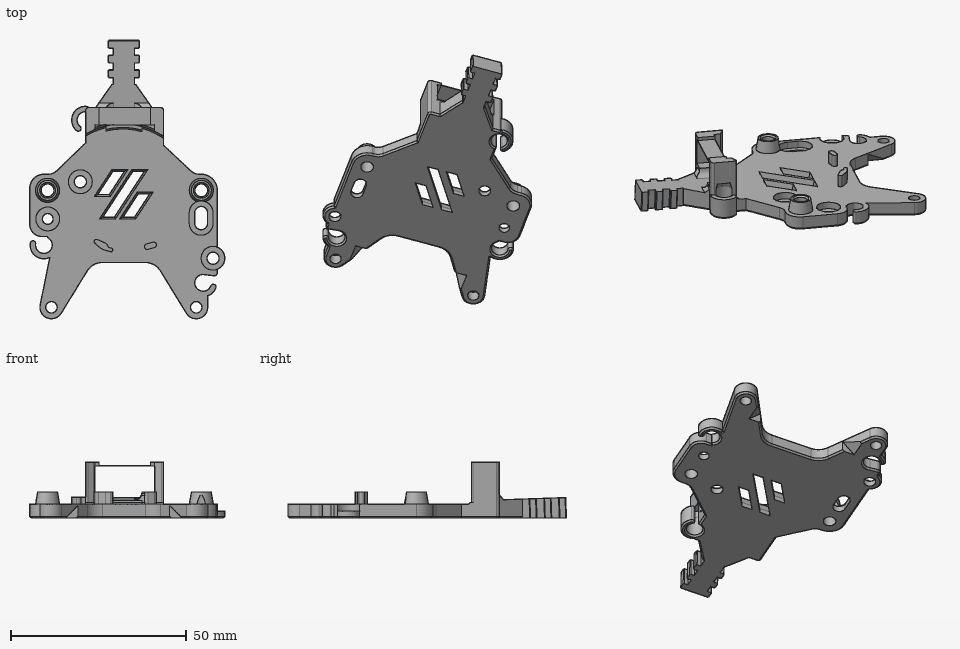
import cadquery as cq
import math

PLATE_T = 4.0
BOTTOM_CHAMFER = 0.5
BEVEL_ANGLE = 45
PLATE_SPAN = 100
PLATE_LEFT, PLATE_RIGHT = -26.89, 26.7
SHOULDER_Y = 38.0
LEFT_CORNER_Y = 20.15
CROTCH_Y = 12.75
CROTCH_HALF = 8.95
CROTCH_RADIUS = 5.0
CORNER_RADIUS = 4.7
LEFT_UPPER_RADIUS = 4.2
LEFT_LOWER_RADIUS = 3.6
SHOULDER_RADIUS = 3.5
SLOPE_END_LEFT, SLOPE_END_RIGHT = 46.95, 46.2
SHOULDER_X_LEFT, SHOULDER_X_RIGHT = -20.1, 20.1

LEG_X = 20.65
LEG_RADIUS = 3.3
LEG_HOLE_D = 3.2
LEG_RELIEF_HALF = 13.15
LEG_RELIEF_Z = 3.5
LEG_RELIEF_Y = 6.1

HOOK_BORE_D = 4.7
HOOK_WALL = 1.6
HOOK_BORE_R = HOOK_BORE_D / 2
HOOK_MID_R = HOOK_BORE_R + HOOK_WALL / 2
HOOK_OUTER_R = HOOK_BORE_R + HOOK_WALL
LEFT_HOOK = (-22.8, 17.75)
RIGHT_HOOK = (22.6, 6.98)
TOWER_HOOK = (-10.95, 53.4)
TOWER_HOOK_TOP = 6.0
TOWER_HOOK_SWEEP = (230, 80)
LEFT_HOOK_SWEEP = (172, 310)
RIGHT_HOOK_SWEEP = (-22, -110)
LEFT_HIP = (LEFT_HOOK[0] + 1.65, LEFT_HOOK[1] - 3.5)
LEFT_BORE_STEP = 0.65
TOWER_BORE_TOP = 7.5
TOWER_BORE_END_Z = 9.3
TOWER_BORE_END_R = 1.8
LIP_END = (25.8, 9.8)
LIP_RADIUS = 0.85

COUNTERBORE_D = 6.8
COUNTERBORE_Z = 2.0
CLEARANCE_HOLE_D = 3.4
SMALL_HOLE_D = 3.0
UPPER_HOLE = (-12.4, 35.8)
LOWER_HOLE = (-21.7, 25.2)
EDGE_HOLE = (25.44, 14.0)
SLOT_CENTRE = (22.05, 25.45)
SLOT_W = 3.6
SLOT_TRAVEL = 3.0

BOSS_XY = [(-21.75, 33.35), (22.1, 33.35)]
BOSS_BASE_D = 6.9
BOSS_TOP_D = 5.7
BOSS_BORE_D = 3.6
BOSS_BORE_CHAMFER = 0.45
STUD_TOP = 7.45

LEFT_PIN = [
    (-8.65, 19.0, 0.5), (-7.8, 19.45, 0.5), (-5.0, 18.2, 1.0), (-4.3, 17.05, 0.3),
    (-3.0, 16.7, 0.4), (-3.4, 15.75, 0.4), (-6.3, 16.55, 5.0), (-8.3, 18.3, 0.5),
]
RIGHT_PIN_ENDS = ((6.7, 17.3), (8.5, 17.8))
RIGHT_PIN_RADIUS = 0.8

WINDOW_BOTTOM_Z = 1.5
WINDOW_INSET = 0.55
WINDOW_LEAN = 0.655
WINDOW_W = 4.55
WINDOWS = [(-8.4, 31.65, 39.3), (-6.95, 25.2, 39.3), (-1.2, 25.2, 32.85)]

TOWER_LEFT, TOWER_RIGHT = -10.87, 11.38
TOWER_BACK = 57.02
TOWER_TOP = 15.98
TOWER_BACK_RADIUS = 0.9
TOWER_FRONT_RADIUS = 0.4
POST_INNER_RADIUS = 0.7
TOWER_FRONT = 46.5
TOWER_CX = (TOWER_LEFT + TOWER_RIGHT) / 2
OPENING_W = 17.0
CAP_GAP = 14.6
BRIDGE_FRONT = 52.0
BRIDGE_BOTTOM = 14.8
BRIDGE_TOP = 15.05
ROUND_CENTRE = (-0.3, 31.3)
TOWER_ROUND_R = 20.95
FLOOR_ROUND_R = 20.0
FOOT_CHAMFER = 0.45
BLOCK_STEP_Z = 6.95
BLOCK_STEP_W = 2.2
BLOCK_CHAMFER = 0.5

TAIL_TILT = 2.0
TAIL_PIVOT_Y = 51.2
TAIL_PIVOT_Z = 5.02
TAIL_END = 75.97
TAIL_TRIM = 2.0
TOOTH_HALF = 4.45
NECK_HALF = 3.08
TOOTH_LEN = 2.1
TOOTH_COUNT = 3
TOOTH_CHAMFER = 0.25
FLARE_TIP_HALF, FLARE_TIP_Y = 3.4, 63.6
FLARE_BASE_HALF = 8.0
FLARE_OVERLAP = 2.0
RAMP_START_Y = 58.2
RAMP_ANGLE = 45.0
CHANNEL_DEPTH = 5.0
TAIL_FLOOR_FRONT = 48.0
CHANNEL_W = 10.3
CHANNEL_RADIUS = 2.15


def rounded_polygon(corners):
    """Closed wire through (x, y, radius) corners; a zero radius keeps the corner sharp."""
    count = len(corners)
    stretches = []
    for i, (x, y, radius) in enumerate(corners):
        corner = cq.Vector(x, y)
        to_prev = (cq.Vector(*corners[i - 1][:2]) - corner).normalized()
        to_next = (cq.Vector(*corners[(i + 1) % count][:2]) - corner).normalized()
        if radius == 0:
            stretches.append((corner,))
            continue
        half = to_prev.getAngle(to_next) / 2
        setback = radius / math.tan(half)
        bisector = (to_prev + to_next).normalized()
        middle = corner + bisector * (radius / math.sin(half) - radius)
        stretches.append((corner + to_prev * setback, middle, corner + to_next * setback))
    path = cq.Workplane("XY").moveTo(*stretches[0][-1].toTuple()[:2])
    for stretch in stretches[1:] + stretches[:1]:
        path = path.lineTo(*stretch[0].toTuple()[:2])
        if len(stretch) == 3:
            path = path.threePointArc(stretch[1].toTuple()[:2], stretch[2].toTuple()[:2])
    return path.close()


def tangent_point(point, centre, radius, side):
    """Where the line from point touches the circle; side +1 or -1 picks the touching line."""
    dx, dy = point[0] - centre[0], point[1] - centre[1]
    angle = math.atan2(dy, dx) + side * math.acos(radius / math.hypot(dx, dy))
    return polar(centre, radius, angle)


def polar(centre, radius, angle):
    return (centre[0] + radius * math.cos(angle), centre[1] + radius * math.sin(angle))


def cylinder(xy, diameter, low, high):
    return cq.Workplane("XY").workplane(offset=low).center(*xy).circle(diameter / 2).extrude(high - low)


def cone(xy, low_radius, high_radius, low, high):
    solid = cq.Solid.makeCone(low_radius, high_radius, high - low, cq.Vector(*xy, low))
    return cq.Workplane(obj=solid)


def box(x0, x1, y0, y1, z0, z1):
    return cq.Workplane("XY").box(x1 - x0, y1 - y0, z1 - z0, centered=False).translate((x0, y0, z0))


def capsule(start, end, radius, low, high):
    length = math.dist(start, end)
    angle = math.degrees(math.atan2(end[1] - start[1], end[0] - start[0]))
    middle = ((start[0] + end[0]) / 2, (start[1] + end[1]) / 2, low)
    slot = cq.Workplane("XY").slot2D(length + 2 * radius, 2 * radius, angle)
    return slot.extrude(high - low).translate(middle)


def hook(centre, start_deg, end_deg, height):
    """Ring sector; the end at start_deg is the rounded free tip."""
    start, end = math.radians(start_deg), math.radians(end_deg)
    mid = (start + end) / 2
    ring = (
        cq.Workplane("XY")
        .moveTo(*polar(centre, HOOK_BORE_R, start))
        .threePointArc(polar(centre, HOOK_BORE_R, mid), polar(centre, HOOK_BORE_R, end))
        .lineTo(*polar(centre, HOOK_OUTER_R, end))
        .threePointArc(polar(centre, HOOK_OUTER_R, mid), polar(centre, HOOK_OUTER_R, start))
        .close()
        .extrude(height)
    )
    return ring.union(cylinder(polar(centre, HOOK_MID_R, start), HOOK_WALL, 0, height))


def everything_above(low):
    return box(-PLATE_SPAN, PLATE_SPAN, -PLATE_SPAN, PLATE_SPAN, low, TOWER_TOP)


def make_plate():
    left_leg, right_leg = (-LEG_X, 0), (LEG_X, 0)
    crotch_left, crotch_right = (-CROTCH_HALF, CROTCH_Y), (CROTCH_HALF, CROTCH_Y)
    corners = [
        (TOWER_LEFT, TOWER_BACK, TOWER_BACK_RADIUS),
        (TOWER_LEFT, SLOPE_END_LEFT, 0),
        (SHOULDER_X_LEFT, SHOULDER_Y, SHOULDER_RADIUS),
        (PLATE_LEFT, SHOULDER_Y, LEFT_UPPER_RADIUS),
        (PLATE_LEFT, LEFT_CORNER_Y, LEFT_LOWER_RADIUS),
        (LEFT_HIP[0] - LEFT_BORE_STEP, LEFT_CORNER_Y, 0),
        (*LEFT_HIP, 0),
        (*tangent_point(LEFT_HIP, left_leg, LEG_RADIUS, 1), 0),
        (*left_leg, 0),
        (*tangent_point(crotch_left, left_leg, LEG_RADIUS, -1), 0),
        (*crotch_left, CROTCH_RADIUS),
        (*crotch_right, CROTCH_RADIUS),
        (*tangent_point(crotch_right, right_leg, LEG_RADIUS, 1), 0),
        (*right_leg, 0),
        (LEG_X + LEG_RADIUS, 0, 0),
        (LEG_X + LEG_RADIUS, RIGHT_HOOK[1] - HOOK_MID_R, 0),
        (RIGHT_HOOK[0], RIGHT_HOOK[1], 0),
        (RIGHT_HOOK[0], RIGHT_HOOK[1] + HOOK_BORE_R, 0),
        (LIP_END[0], LIP_END[1] - LIP_RADIUS, 0),
        (*LIP_END, 0),
        (PLATE_RIGHT, LIP_END[1], 0),
        (PLATE_RIGHT, SHOULDER_Y, CORNER_RADIUS),
        (SHOULDER_X_RIGHT, SHOULDER_Y, SHOULDER_RADIUS),
        (TOWER_RIGHT, SLOPE_END_RIGHT, 0),
        (TOWER_RIGHT, TOWER_BACK, TOWER_BACK_RADIUS),
    ]
    plate = rounded_polygon(corners).extrude(PLATE_T)
    for leg in (left_leg, right_leg):
        plate = plate.union(cylinder(leg, 2 * LEG_RADIUS, 0, PLATE_T))
    plate = plate.union(cylinder(LIP_END, 2 * LIP_RADIUS, 0, PLATE_T))
    plate = plate.union(flare_outline().extrude(PLATE_T))
    plate = plate.union(hook(TOWER_HOOK, *TOWER_HOOK_SWEEP, PLATE_T))
    plate = plate.union(hook(LEFT_HOOK, *LEFT_HOOK_SWEEP, PLATE_T))
    plate = plate.union(hook(RIGHT_HOOK, *RIGHT_HOOK_SWEEP, PLATE_T))
    for centre in (TOWER_HOOK, LEFT_HOOK, RIGHT_HOOK):
        plate = plate.cut(cylinder(centre, HOOK_BORE_D, 0, PLATE_T))
    plate = plate.union(cylinder(EDGE_HOLE, COUNTERBORE_D, 0, COUNTERBORE_Z)).clean()

    rim = plate.faces("<Z").val().outerWire().translate(cq.Vector(0, 0, BOTTOM_CHAMFER))
    beveled = cq.Workplane("XY").add(rim).toPending().extrude(-BOTTOM_CHAMFER, taper=BEVEL_ANGLE)
    return plate.intersect(everything_above(BOTTOM_CHAMFER)).union(beveled)


def leg_relief():
    """Wedge-sided clearance under the inner edges of both legs."""
    base_half = LEG_RELIEF_HALF + LEG_RELIEF_Z
    profile = [
        (-base_half, 0), (-LEG_RELIEF_HALF, LEG_RELIEF_Z),
        (LEG_RELIEF_HALF, LEG_RELIEF_Z), (base_half, 0),
    ]
    prism = cq.Workplane("XZ").polyline(profile).close().extrude(4 * LEG_RADIUS)
    return prism.translate((0, LEG_RELIEF_Y, 0))


def window(left, low, high):
    """Slanted opening whose walls taper in to a straight lower part."""
    shift = WINDOW_LEAN * (high - low)
    outline = [(left, low), (left + WINDOW_W, low), (left + WINDOW_W + shift, high), (left + shift, high)]
    depth = PLATE_T - WINDOW_BOTTOM_Z
    taper = math.degrees(math.atan(WINDOW_INSET / depth))
    top_face = cq.Workplane("XY").workplane(offset=PLATE_T).polyline(outline).close()
    upper = top_face.extrude(-depth, taper=taper)
    lower = upper.faces("<Z").wires().toPending().extrude(-WINDOW_BOTTOM_Z, combine=False)
    return upper.union(lower)


def add_bosses(body):
    for xy in BOSS_XY:
        body = body.union(cone(xy, BOSS_BASE_D / 2, BOSS_TOP_D / 2, PLATE_T, STUD_TOP))
        bore_r = BOSS_BORE_D / 2
        body = body.cut(cylinder(xy, BOSS_BORE_D, 0, STUD_TOP))
        body = body.cut(cone(xy, bore_r, bore_r + BOSS_BORE_CHAMFER, STUD_TOP - BOSS_BORE_CHAMFER, STUD_TOP))
    return body


def cut_holes(body):
    for xy, diameter in (
        (UPPER_HOLE, CLEARANCE_HOLE_D),
        (LOWER_HOLE, SMALL_HOLE_D),
        (EDGE_HOLE, CLEARANCE_HOLE_D),
    ):
        body = body.cut(cylinder(xy, diameter, 0, PLATE_T))
        body = body.cut(cylinder(xy, COUNTERBORE_D, COUNTERBORE_Z, PLATE_T))
    for side in (-1, 1):
        body = body.cut(cylinder((side * LEG_X, 0), LEG_HOLE_D, 0, PLATE_T))
    slot_low = (SLOT_CENTRE[0], SLOT_CENTRE[1] - SLOT_TRAVEL / 2)
    slot_high = (SLOT_CENTRE[0], SLOT_CENTRE[1] + SLOT_TRAVEL / 2)
    body = body.cut(capsule(slot_low, slot_high, SLOT_W / 2, 0, PLATE_T))
    return body.cut(capsule(slot_low, slot_high, COUNTERBORE_D / 2, COUNTERBORE_Z, STUD_TOP))


def add_pins(body):
    left_pin = rounded_polygon(LEFT_PIN).extrude(STUD_TOP)
    right_pin = capsule(*RIGHT_PIN_ENDS, RIGHT_PIN_RADIUS, 0, STUD_TOP)
    return body.union(left_pin).union(right_pin)


def round_clearance(radius):
    """Cylinder above the plate with a chamfer left standing at its foot."""
    foot_top = PLATE_T + FOOT_CHAMFER
    foot = cone(ROUND_CENTRE, radius - FOOT_CHAMFER, radius, PLATE_T, foot_top)
    return foot.union(cylinder(ROUND_CENTRE, 2 * radius, foot_top, TOWER_TOP))


def tilt(solid):
    pivot = (0, TAIL_PIVOT_Y, TAIL_PIVOT_Z)
    return solid.rotate(pivot, (1, TAIL_PIVOT_Y, TAIL_PIVOT_Z), TAIL_TILT)


def make_channel():
    """Cable channel with rounded floor corners, lying on the tilted floor."""
    top = TAIL_PIVOT_Z + CHANNEL_DEPTH
    channel = box(-CHANNEL_W / 2, CHANNEL_W / 2, TAIL_FLOOR_FRONT, FLARE_TIP_Y, TAIL_PIVOT_Z, top)
    return tilt(channel.edges("|Y and <Z").fillet(CHANNEL_RADIUS))


def tower_footprint(low, high):
    block = box(TOWER_LEFT, TOWER_RIGHT, TOWER_FRONT, TOWER_BACK, low, high)
    return block.edges("|Z and >Y").fillet(TOWER_BACK_RADIUS)


def front_edge_at(x):
    reach = 0.1
    return cq.selectors.BoxSelector((x - reach, TOWER_FRONT, PLATE_T), (x + reach, BRIDGE_FRONT, TOWER_TOP))


def make_posts(opening):
    """Two side posts with rounded front edges."""
    posts = tower_footprint(PLATE_T, TOWER_TOP).cut(opening)
    posts = posts.cut(cylinder(ROUND_CENTRE, 2 * TOWER_ROUND_R, PLATE_T, TOWER_TOP))
    for x, radius in (
        (TOWER_LEFT, TOWER_FRONT_RADIUS),
        (TOWER_RIGHT, TOWER_FRONT_RADIUS),
        (TOWER_CX - OPENING_W / 2, POST_INNER_RADIUS),
    ):
        posts = posts.edges("|Z").edges(front_edge_at(x)).fillet(radius)
    return posts


def make_tower():
    open_left, open_right = TOWER_CX - OPENING_W / 2, TOWER_CX + OPENING_W / 2
    opening = box(open_left, open_right, TOWER_FRONT, TOWER_BACK, PLATE_T, TOWER_TOP)
    foot = tower_footprint(PLATE_T, PLATE_T + FOOT_CHAMFER)
    blocks = opening.intersect(tower_footprint(PLATE_T, STUD_TOP))
    blocks = blocks.union(foot).cut(round_clearance(TOWER_ROUND_R))

    step = cylinder(ROUND_CENTRE, 2 * (TOWER_ROUND_R + BLOCK_STEP_W), BLOCK_STEP_Z, STUD_TOP)
    edge = cone(ROUND_CENTRE, TOWER_ROUND_R, TOWER_ROUND_R + BLOCK_CHAMFER,
                BLOCK_STEP_Z - BLOCK_CHAMFER, BLOCK_STEP_Z)
    blocks = blocks.cut(step.union(edge).intersect(opening))
    tower = make_posts(opening).union(blocks)

    bridge = box(open_left, open_right, BRIDGE_FRONT, TOWER_BACK, BRIDGE_BOTTOM, TOWER_TOP)
    gap = box(TOWER_CX - CAP_GAP / 2, TOWER_CX + CAP_GAP / 2, BRIDGE_FRONT, TOWER_BACK, BRIDGE_TOP, TOWER_TOP)
    return tower.union(bridge.cut(gap))


def flare_outline():
    base_y = TOWER_BACK - FLARE_OVERLAP
    points = [
        (-FLARE_BASE_HALF, base_y), (-FLARE_BASE_HALF, TOWER_BACK), (-FLARE_TIP_HALF, FLARE_TIP_Y),
        (FLARE_TIP_HALF, FLARE_TIP_Y), (FLARE_BASE_HALF, TOWER_BACK), (FLARE_BASE_HALF, base_y),
    ]
    return cq.Workplane("XY").polyline(points).close()


def make_ramp():
    """Slopes rising at 45 degrees to the tilted floor, from the flare to the top of the cable blocks."""
    start_z = TAIL_PIVOT_Z + (RAMP_START_Y - TAIL_PIVOT_Y) * math.tan(math.radians(TAIL_TILT))
    top_y = RAMP_START_Y - (STUD_TOP - start_z) / math.tan(math.radians(RAMP_ANGLE + TAIL_TILT))
    profile = [(RAMP_START_Y, PLATE_T), (RAMP_START_Y, start_z), (top_y, STUD_TOP), (top_y, PLATE_T)]
    wedge = cq.Workplane("YZ").polyline(profile).close().extrude(FLARE_BASE_HALF, both=True)
    return wedge.intersect(flare_outline().extrude(STUD_TOP))


def make_tail():
    """Toothed tail; its top and its teeth are tilted, its underside is flat."""
    base_z = -TAIL_TRIM
    below_top = tilt(box(-PLATE_SPAN, PLATE_SPAN, 0, PLATE_SPAN, base_z, TAIL_PIVOT_Z))
    flare = flare_outline().extrude(STUD_TOP).intersect(below_top).intersect(everything_above(PLATE_T))
    neck = box(-NECK_HALF, NECK_HALF, TOWER_BACK, TAIL_END, base_z, TAIL_PIVOT_Z)
    floor = box(-CHANNEL_W / 2, CHANNEL_W / 2, TAIL_FLOOR_FRONT, TOWER_BACK, base_z, TAIL_PIVOT_Z)
    tail = neck.union(floor)
    for i in range(TOOTH_COUNT):
        tooth_back = TAIL_END - 2 * i * TOOTH_LEN
        tooth = box(-TOOTH_HALF, TOOTH_HALF, tooth_back - TOOTH_LEN, tooth_back, base_z, TAIL_PIVOT_Z)
        tail = tail.union(tooth.edges("|Z").chamfer(TOOTH_CHAMFER))
    tail = tilt(tail).union(flare)
    tail = tail.cut(round_clearance(FLOOR_ROUND_R))
    back = TAIL_END + TAIL_TRIM
    return tail.intersect(box(-FLARE_BASE_HALF, FLARE_BASE_HALF, TAIL_FLOOR_FRONT, back, 0, STUD_TOP))


def add_tower_hook(body):
    """Upper part of the hook beside the tower; the plate already holds its lower part."""
    ring = hook(TOWER_HOOK, *TOWER_HOOK_SWEEP, TOWER_HOOK_TOP)
    return body.union(ring.intersect(everything_above(PLATE_T)))


def cut_tower_hook_bore(body):
    """Continue the hook bore up into the side of the tower, ending in a taper."""
    body = body.cut(cylinder(TOWER_HOOK, HOOK_BORE_D, PLATE_T, TOWER_BORE_TOP))
    taper = cone(TOWER_HOOK, HOOK_BORE_R, TOWER_BORE_END_R, TOWER_BORE_TOP, TOWER_BORE_END_Z)
    return body.cut(taper)


body = make_plate()
body = body.cut(leg_relief())
body = add_bosses(body)
body = cut_holes(body)
for placement in WINDOWS:
    body = body.cut(window(*placement))
body = add_pins(body)

tower = make_tower().union(make_ramp()).cut(make_channel())
body = body.union(tower).union(make_tail())
body = add_tower_hook(body)
result = cut_tower_hook_bore(body)